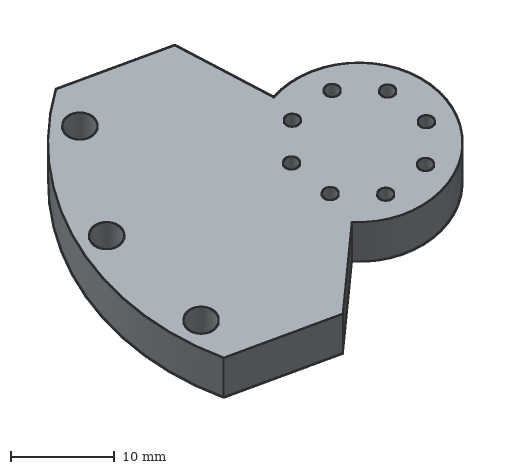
import cadquery as cq
import math

thickness = 6
disc_radius = 10
fan_radius = 30
fan_width = 37.4
fan_edge_angle = 30
fan_tip_y = 0.1

small_hole_diameter = 1.65
small_hole_circle_radius = 7.0
small_hole_count = 8
small_hole_start_angle = -4

large_hole_diameter = 3.4
large_hole_circle_radius = 27.0
large_hole_angles = (-120, -90, -60)


def polar_point(radius, angle):
    """Point at a radius and an angle in degrees around the shared centre."""
    return (radius * math.cos(math.radians(angle)), radius * math.sin(math.radians(angle)))


def make_fan():
    """Sector with its tip near the disc centre and its sides cut parallel to Y."""
    half_width = fan_width / 2
    shoulder_y = fan_tip_y - half_width * math.tan(math.radians(fan_edge_angle))
    corner_y = -math.sqrt(fan_radius**2 - half_width**2)
    return (
        cq.Workplane("XY")
        .moveTo(0, fan_tip_y)
        .lineTo(-half_width, shoulder_y)
        .lineTo(-half_width, corner_y)
        .threePointArc((0, -fan_radius), (half_width, corner_y))
        .lineTo(half_width, shoulder_y)
        .close()
        .extrude(thickness)
    )


def make_hole_cutters(diameter, circle_radius, angles):
    """Through-hole cylinders placed on a circle around the shared centre."""
    centres = [polar_point(circle_radius, angle) for angle in angles]
    return cq.Workplane("XY").pushPoints(centres).circle(diameter / 2).extrude(thickness)


small_hole_angles = [
    small_hole_start_angle + index * 360 / small_hole_count for index in range(small_hole_count)
]

disc = cq.Workplane("XY").circle(disc_radius).extrude(thickness)
plate = disc.union(make_fan())
plate = plate.cut(make_hole_cutters(small_hole_diameter, small_hole_circle_radius, small_hole_angles))
result = plate.cut(make_hole_cutters(large_hole_diameter, large_hole_circle_radius, large_hole_angles))